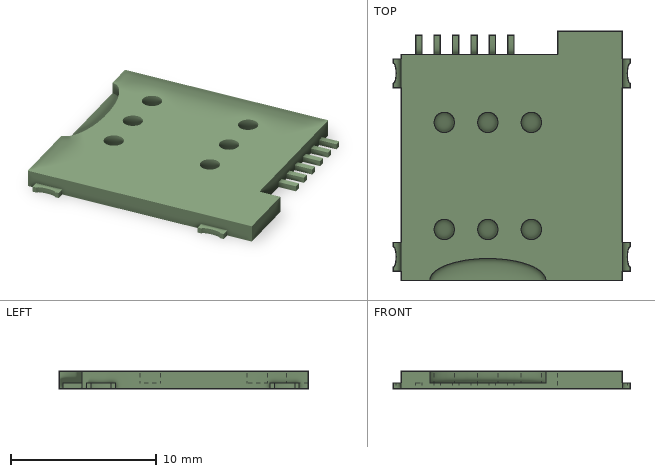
import cadquery as cq

overall_width = 16.36
overall_length = 17.2
overall_height = 1.22

body_width = 15.26
step_length = 1.6
step_width = 4.46
base_thickness = 0.4
cover_thickness = overall_height - base_thickness
right_side = body_width / 2
left_side = -right_side
back_edge = overall_length / 2
front_edge = -back_edge
shoulder = back_edge - step_length

hole_diameter = 1.4
hole_pitch = 3.0
hole_columns = 3
hole_center_x = -1.65
front_row_y = front_edge + 3.53
back_row_y = front_edge + 10.91
notch_half_width = 4.0
notch_depth = 1.53

pin_count = 6
pin_pitch = 1.27
pin_width = 0.45
pin_length = 1.33
first_pin_x = left_side + 1.22

tab_reach = (overall_width - body_width) / 2
tab_length = 2.0
scallop_length = 1.4
scallop_depth = 0.2
front_tab_y = front_edge + 1.64
back_tab_y = front_edge + 14.3


def make_body():
    outline = [
        (left_side, front_edge),
        (right_side, front_edge),
        (right_side, back_edge),
        (right_side - step_width, back_edge),
        (right_side - step_width, shoulder),
        (left_side, shoulder),
    ]
    return cq.Workplane("XY").polyline(outline).close().extrude(overall_height)


def make_holes():
    first_hole_x = hole_center_x - hole_pitch * (hole_columns - 1) / 2
    centers = [
        (first_hole_x + column * hole_pitch, row_y)
        for row_y in (front_row_y, back_row_y)
        for column in range(hole_columns)
    ]
    return (
        cq.Workplane("XY", origin=(0, 0, base_thickness))
        .pushPoints(centers)
        .circle(hole_diameter / 2)
        .extrude(cover_thickness)
    )


def make_finger_notch():
    return (
        cq.Workplane("XY", origin=(0, 0, base_thickness))
        .center(hole_center_x, front_edge)
        .ellipse(notch_half_width, notch_depth)
        .extrude(cover_thickness)
    )


def make_pins():
    centers = [
        (first_pin_x + index * pin_pitch, shoulder + pin_length / 2)
        for index in range(pin_count)
    ]
    return (
        cq.Workplane("XY")
        .pushPoints(centers)
        .rect(pin_width, pin_length)
        .extrude(base_thickness)
    )


def make_tab(side, center_y):
    """Tab on the right (side = 1) or left (side = -1) of the body."""
    tab_x = side * (right_side + tab_reach / 2)
    tip_x = side * (right_side + tab_reach)
    scallop = (
        cq.Workplane("XY")
        .center(tip_x, center_y)
        .ellipse(scallop_depth, scallop_length / 2)
        .extrude(base_thickness)
    )
    return (
        cq.Workplane("XY")
        .center(tab_x, center_y)
        .rect(tab_reach, tab_length)
        .extrude(base_thickness)
        .cut(scallop)
    )


result = make_body().cut(make_holes()).cut(make_finger_notch()).union(make_pins())
for side in (-1, 1):
    for center_y in (front_tab_y, back_tab_y):
        result = result.union(make_tab(side, center_y))